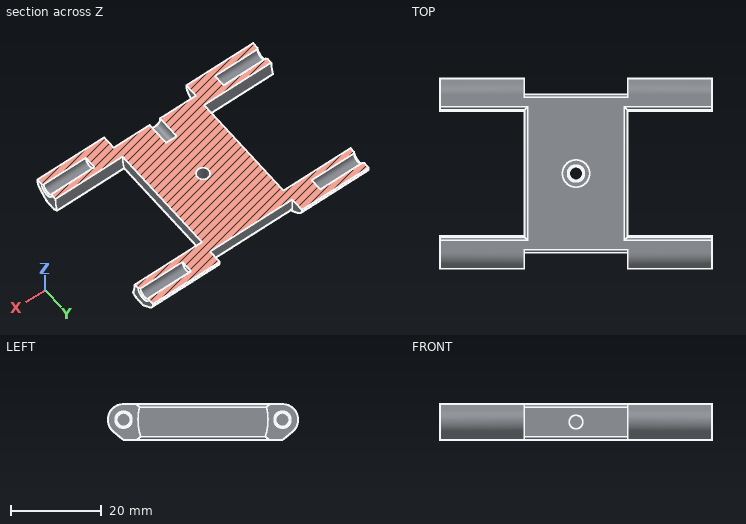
import cadquery as cq
import math

length = 60.0
height = 8.0
arm_radius = 3.5
overall_width = 42.0

plate_length = 22.75
edge_chamfer = 0.7

hollow_radius = 12.0
arm_thickness = 6.65

hole_diameter = 3.0
mouth_diameter = 3.7
mouth_chamfer = (mouth_diameter - hole_diameter) / 2
arm_hole_depth = 12.0
side_hole_depth = 6.0
counterbore_diameter = 6.0
counterbore_depth = 3.0

axis_y = overall_width / 2 - arm_radius
axis_z = height / 2 - arm_radius
plate_width = 2 * axis_y
arm_length = (length - plate_length) / 2
hollow_center_y = overall_width / 2 - arm_thickness - hollow_radius


def hollow_y(z):
    """Y of the hollow arc on the inner side of the +Y arms at height z."""
    return hollow_center_y + math.sqrt(hollow_radius**2 - (z - axis_z)**2)


def make_plate():
    plate = cq.Workplane("XY").box(plate_length, plate_width, height)
    return plate.faces("<Z or >Z").edges("|Y").chamfer(edge_chamfer)


def make_bevel_cutter():
    """Prism that bevels the plate's upper +Y edge between the arms."""
    return (
        cq.Workplane("YZ")
        .moveTo(axis_y, height / 2)
        .lineTo(axis_y - edge_chamfer, height / 2)
        .lineTo(axis_y, height / 2 - edge_chamfer)
        .close()
        .extrude(plate_length / 2, both=True)
    )


def make_arm():
    """Solid arm at +X, +Y."""
    bottom = -height / 2
    top = height / 2
    low_shoulder = bottom + edge_chamfer
    high_shoulder = top - edge_chamfer
    low_y = hollow_y(low_shoulder)
    high_y = hollow_y(high_shoulder)

    tangent_angle = math.acos(arm_radius / (axis_z - bottom))
    tangent_y = axis_y + arm_radius * math.sin(tangent_angle)
    tangent_z = axis_z - arm_radius * math.cos(tangent_angle)

    arm = (
        cq.Workplane("YZ", origin=(length / 2 - arm_length - edge_chamfer, 0, 0))
        .moveTo(axis_y, bottom)
        .lineTo(tangent_y, tangent_z)
        .threePointArc((axis_y + arm_radius, axis_z), (axis_y, top))
        .lineTo(high_y + edge_chamfer, top)
        .lineTo(high_y, high_shoulder)
        .threePointArc((hollow_y(axis_z), axis_z), (low_y, low_shoulder))
        .lineTo(high_y + edge_chamfer, bottom)
        .close()
        .extrude(arm_length + edge_chamfer)
    )
    overlap = (
        cq.Workplane("XY")
        .box(plate_length, arm_radius, height)
        .translate((0, axis_y + arm_radius / 2, 0))
    )
    return arm.cut(overlap)


def make_arm_hole():
    return (
        cq.Workplane("YZ", origin=(length / 2 - arm_hole_depth, axis_y, axis_z))
        .circle(hole_diameter / 2)
        .extrude(arm_hole_depth)
        .union(
            cq.Workplane("YZ", origin=(length / 2, axis_y, axis_z))
            .circle(mouth_diameter / 2)
            .extrude(-mouth_chamfer, taper=45)
        )
    )


def make_center_hole():
    floor_z = height / 2 - counterbore_depth
    bore = cq.Workplane("XY", origin=(0, 0, -height / 2)).circle(hole_diameter / 2).extrude(height)
    mouth = (
        cq.Workplane("XY", origin=(0, 0, floor_z))
        .circle(mouth_diameter / 2)
        .extrude(-mouth_chamfer, taper=45)
    )
    counterbore = (
        cq.Workplane("XY", origin=(0, 0, floor_z))
        .circle(counterbore_diameter / 2)
        .extrude(counterbore_depth)
    )
    return bore.union(mouth).union(counterbore)


def make_side_hole():
    return (
        cq.Workplane("XZ", origin=(0, -plate_width / 2, 0))
        .circle(hole_diameter / 2)
        .extrude(-side_hole_depth)
    )


def mirrored_copies(shape, first_plane):
    """The shape and its mirror images in first_plane and the XZ plane."""
    pair = [shape, shape.mirror(first_plane)]
    return pair + [member.mirror("XZ") for member in pair]


result = make_plate()
for arm in mirrored_copies(make_arm(), "YZ"):
    result = result.union(arm)
for bevel in mirrored_copies(make_bevel_cutter(), "XY"):
    result = result.cut(bevel)
for hole in mirrored_copies(make_arm_hole(), "YZ"):
    result = result.cut(hole)
result = result.cut(make_center_hole())
result = result.cut(make_side_hole())